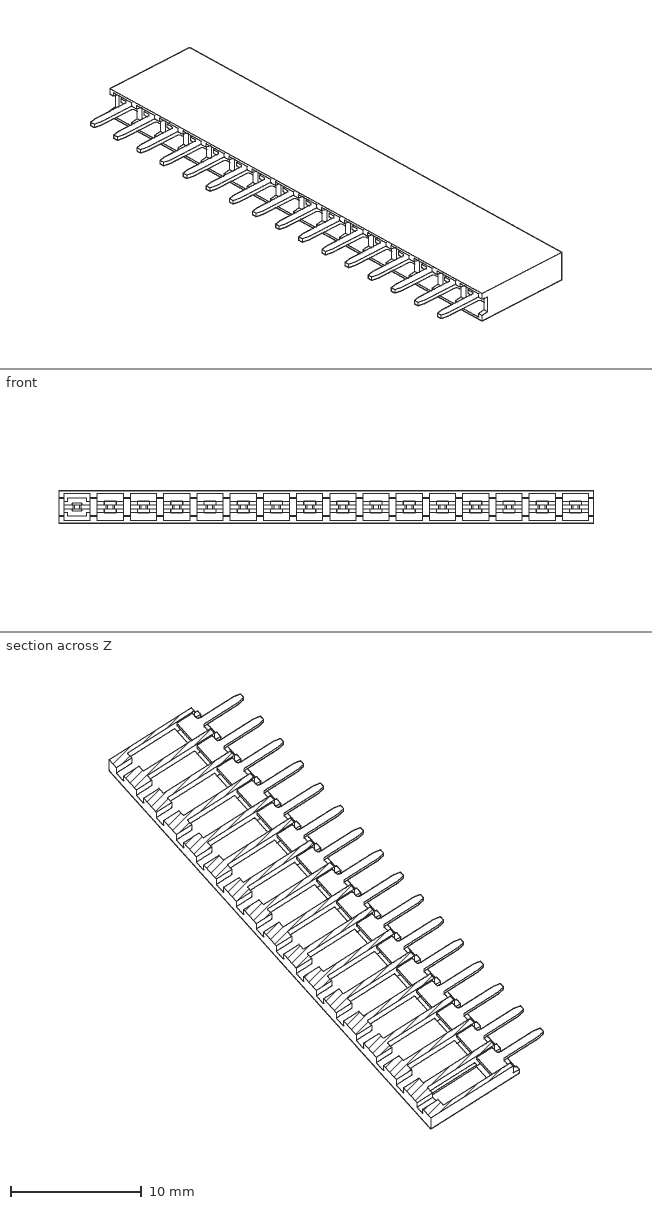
import cadquery as cq

POSITIONS = 16
PITCH = 2.54
HOUSING_LENGTH = 40.89
HOUSING_DEPTH = 8.5
HOUSING_HEIGHT = 2.5

POCKET_WIDTH = 2.0
POCKET_HEIGHT = 2.1
POCKET_DEPTH = 2.5
SLOT_HEIGHT = 0.85
SLOT_DEPTH = 7.0
ENTRY_WIDTH = 0.9

FIRST_RECESS_WIDTH = 1.48
FIRST_RECESS_HEIGHT = 1.36
FIRST_ENTRY_WIDTH = 0.7
FIRST_ENTRY_HEIGHT = 0.6

NOTCH_DEPTH = 0.6
NOTCH_MOUTH_HEIGHT = 1.48
NOTCH_FLOOR_HEIGHT = 1.3

CONTACT_THICKNESS = 0.32
PLATE_START = 0.8
PLATE_LENGTH = 1.5
PLATE_GRIP = 0.05
PIN_WIDTH = 0.64
PIN_TIP_WIDTH = 0.4
PIN_TAPER_LENGTH = 0.6
PIN_ROOT_RADIUS = 0.2
PIN_PROTRUSION = 3.2

FIRST_X = -PITCH * (POSITIONS - 1) / 2
POSITION_XS = [FIRST_X + PITCH * i for i in range(POSITIONS)]


def block(width, height, y_start, y_end, x=0.0):
    """Box centred on x and Z = 0, running from y_start to y_end."""
    return (
        cq.Workplane("XY")
        .box(width, y_end - y_start, height, centered=(True, False, True))
        .translate((x, y_start, 0))
    )


def notch():
    mouth = NOTCH_MOUTH_HEIGHT / 2
    floor = NOTCH_FLOOR_HEIGHT / 2
    return (
        cq.Workplane("YZ")
        .polyline([(0, -mouth), (NOTCH_DEPTH, -floor), (NOTCH_DEPTH, floor), (0, mouth)])
        .close()
        .extrude(HOUSING_LENGTH / 2, both=True)
    )


def pocket(x):
    """Open pocket and the narrower slot behind it."""
    opening = block(POCKET_WIDTH, POCKET_HEIGHT, 0, POCKET_DEPTH, x)
    return opening.union(block(POCKET_WIDTH, SLOT_HEIGHT, 0, SLOT_DEPTH, x))


def cavity(x):
    return pocket(x).union(block(ENTRY_WIDTH, SLOT_HEIGHT, 0, HOUSING_DEPTH, x))


def first_cavity(x):
    recess = block(FIRST_RECESS_WIDTH, FIRST_RECESS_HEIGHT, 0, SLOT_DEPTH, x)
    entry = block(FIRST_ENTRY_WIDTH, FIRST_ENTRY_HEIGHT, 0, HOUSING_DEPTH, x)
    return pocket(x).union(recess).union(entry)


def contact(x):
    """Plate and pin in one outline, with rounded corners where the pin leaves the plate."""
    plate_side = POCKET_WIDTH / 2 + PLATE_GRIP
    plate_end = PLATE_START + PLATE_LENGTH
    side = PIN_WIDTH / 2
    tip_side = PIN_TIP_WIDTH / 2
    taper_y = PIN_TAPER_LENGTH - PIN_PROTRUSION
    root_y = PLATE_START - PIN_ROOT_RADIUS
    root_side = side + PIN_ROOT_RADIUS
    return (
        cq.Workplane("XY", origin=(x, 0, 0))
        .moveTo(-tip_side, -PIN_PROTRUSION)
        .lineTo(tip_side, -PIN_PROTRUSION)
        .lineTo(side, taper_y)
        .lineTo(side, root_y)
        .radiusArc((root_side, PLATE_START), PIN_ROOT_RADIUS)
        .lineTo(plate_side, PLATE_START)
        .lineTo(plate_side, plate_end)
        .lineTo(-plate_side, plate_end)
        .lineTo(-plate_side, PLATE_START)
        .lineTo(-root_side, PLATE_START)
        .radiusArc((-side, root_y), PIN_ROOT_RADIUS)
        .lineTo(-side, taper_y)
        .close()
        .extrude(CONTACT_THICKNESS / 2, both=True)
    )


def housing():
    body = block(HOUSING_LENGTH, HOUSING_HEIGHT, 0, HOUSING_DEPTH).cut(notch())
    body = body.cut(first_cavity(POSITION_XS[0]))
    for x in POSITION_XS[1:]:
        body = body.cut(cavity(x))
    return body


result = housing()
for position_x in POSITION_XS:
    result = result.union(contact(position_x))